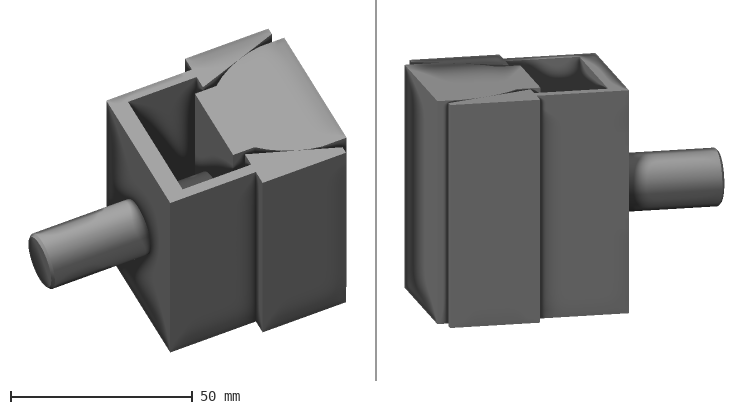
import cadquery as cq
import math

height = 63.5

jaw_outer_half = 49.7 / 2
channel_outer_half = 41.0 / 2
wall_thickness = 3.0
channel_inner_half = channel_outer_half - wall_thickness
base_thickness = 5.2
jaw_bottom_y = 26.1
jaw_top_y = 51.5
jaw_tip_width = 2.2
jaw_angle = math.radians(20)
jaw_tip_x = jaw_outer_half - jaw_tip_width
jaw_heel_x = jaw_tip_x - (jaw_top_y - jaw_bottom_y) * math.tan(jaw_angle)

block_half = 40.0 / 2
foot_half = 24.5 / 2
block_bottom_y = 23.1
foot_top_y = 29.6
curve_top_y = 46.5
block_top_y = 54.0
flank_radius = 31.0

screw_diameter = 16.2
screw_end_y = -30.0
screw_chamfer = 0.75
screw_axis_z = height / 2


def y_cylinder(diameter, start_y, end_y):
    """Cylinder on the screw axis between two Y positions."""
    plane = cq.Plane(origin=(0, start_y, screw_axis_z), xDir=(1, 0, 0), normal=(0, 1, 0))
    return cq.Workplane(plane).circle(diameter / 2).extrude(end_y - start_y)


def flank_midpoint(start, end, radius):
    """Middle of the arc that bulges away from X = 0 between two points of a +X flank."""
    chord_x = end[0] - start[0]
    chord_y = end[1] - start[1]
    chord = math.hypot(chord_x, chord_y)
    rise = radius - math.sqrt(radius**2 - (chord / 2) ** 2)
    middle_x = (start[0] + end[0]) / 2 + rise * chord_y / chord
    middle_y = (start[1] + end[1]) / 2 - rise * chord_x / chord
    return middle_x, middle_y


def make_housing():
    right_side = [
        (channel_outer_half, 0),
        (channel_outer_half, jaw_bottom_y),
        (jaw_outer_half, jaw_bottom_y),
        (jaw_outer_half, jaw_top_y),
        (jaw_tip_x, jaw_top_y),
        (jaw_heel_x, jaw_bottom_y),
        (channel_inner_half, jaw_bottom_y),
        (channel_inner_half, base_thickness),
    ]
    left_side = [(-x, y) for x, y in reversed(right_side)]
    channel = cq.Workplane("XY").polyline(right_side + left_side).close().extrude(height)
    return channel.cut(y_cylinder(screw_diameter, 0, base_thickness))


def make_block():
    flank_bottom = (foot_half, foot_top_y)
    flank_top = (block_half, curve_top_y)
    middle_x, middle_y = flank_midpoint(flank_bottom, flank_top, flank_radius)
    return (
        cq.Workplane("XY")
        .moveTo(-foot_half, block_bottom_y)
        .lineTo(foot_half, block_bottom_y)
        .lineTo(*flank_bottom)
        .threePointArc((middle_x, middle_y), flank_top)
        .lineTo(block_half, block_top_y)
        .lineTo(-block_half, block_top_y)
        .lineTo(-block_half, curve_top_y)
        .threePointArc((-middle_x, middle_y), (-foot_half, foot_top_y))
        .close()
        .extrude(height)
    )


def make_screw():
    shank = y_cylinder(screw_diameter, screw_end_y, block_bottom_y)
    return shank.faces("<Y").chamfer(screw_chamfer)


housing = make_housing()
block = make_block()
screw = make_screw()

result = cq.Compound.makeCompound([housing.val(), block.val(), screw.val()])